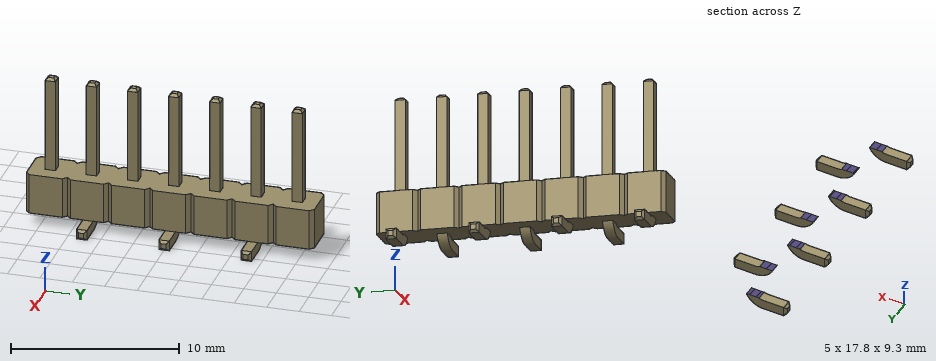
import cadquery as cq

PIN_COUNT = 7
TOTAL_LENGTH = 17.78
TOTAL_HEIGHT = 9.3
FOOT_SPAN = 5.0
BODY_BOTTOM = 0.75
CORNER_X = 0.27
CORNER_Y = 0.25
PIN_WIDTH = 0.64
TIP_CHAMFER = 0.16
BEND_INNER_RADIUS = 0.64

PITCH = TOTAL_LENGTH / PIN_COUNT
BODY_HEIGHT = PITCH
BEND_OUTER_RADIUS = BEND_INNER_RADIUS + PIN_WIDTH
HALF_PIN = PIN_WIDTH / 2
FOOT_END = FOOT_SPAN / 2


def body_segment(y):
    """Square plastic block around one pin, with chamfered vertical edges."""
    half = PITCH / 2
    end_x = half - CORNER_X
    side_y = half - CORNER_Y
    outline = [
        (end_x, half),
        (half, side_y),
        (half, -side_y),
        (end_x, -half),
        (-end_x, -half),
        (-half, -side_y),
        (-half, side_y),
        (-end_x, half),
    ]
    return (
        cq.Workplane("XY", origin=(0, y, BODY_BOTTOM))
        .polyline(outline)
        .close()
        .extrude(BODY_HEIGHT)
    )


def left_pin():
    """Upright square pin on the Z axis, bent at the bottom into a foot towards -X."""
    bend_center_x = HALF_PIN - BEND_OUTER_RADIUS
    bend_center_z = BEND_OUTER_RADIUS
    pin = (
        cq.Workplane("XZ")
        .moveTo(-FOOT_END, 0)
        .lineTo(bend_center_x, 0)
        .radiusArc((HALF_PIN, bend_center_z), -BEND_OUTER_RADIUS)
        .lineTo(HALF_PIN, TOTAL_HEIGHT)
        .lineTo(-HALF_PIN, TOTAL_HEIGHT)
        .lineTo(-HALF_PIN, bend_center_z)
        .radiusArc((bend_center_x, PIN_WIDTH), BEND_INNER_RADIUS)
        .lineTo(-FOOT_END, PIN_WIDTH)
        .close()
        .extrude(HALF_PIN, both=True)
    )
    return pin.faces(">Z").chamfer(TIP_CHAMFER).faces("<X").chamfer(TIP_CHAMFER)


foot_left = left_pin()
foot_right = foot_left.mirror("YZ")
first_y = -(TOTAL_LENGTH - PITCH) / 2
row_positions = [first_y + index * PITCH for index in range(PIN_COUNT)]

result = body_segment(row_positions[0])
for y in row_positions[1:]:
    result = result.union(body_segment(y))

for index, y in enumerate(row_positions):
    pin = foot_left if index % 2 == 0 else foot_right
    result = result.union(pin.translate((0, y, 0)))

result = result.clean()